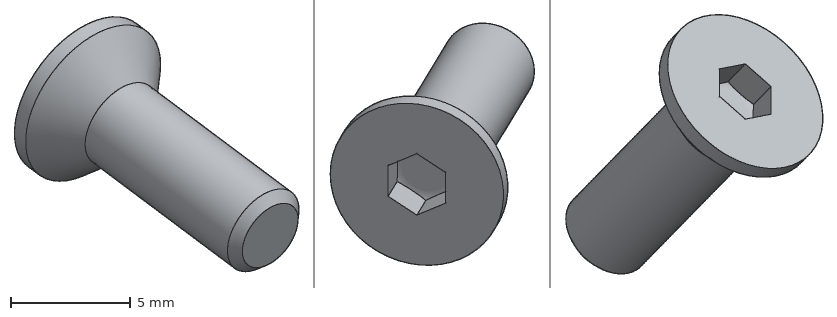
import cadquery as cq
import math

length = 12
head_diameter = 7.54
shank_diameter = 4.0
rim_thickness = 0.72
tip_chamfer = 0.45

socket_flats = 2.5
corner_depth = 1.44
floor_radius = 1.08
floor_fillet = 0.79

head_radius = head_diameter / 2
shank_radius = shank_diameter / 2
cone_end = rim_thickness + head_radius - shank_radius


def screw_body():
    return (
        cq.Workplane("XY")
        .moveTo(0, 0)
        .lineTo(0, head_radius)
        .lineTo(rim_thickness, head_radius)
        .lineTo(cone_end, shank_radius)
        .lineTo(length - tip_chamfer, shank_radius)
        .lineTo(length, shank_radius - tip_chamfer)
        .lineTo(length, 0)
        .close()
        .revolve(360, (0, 0, 0), (1, 0, 0))
    )


def drive_socket():
    """Hexagon with corners on the Z axis; its flat floor disc is rounded at the rim."""
    corner_radius = socket_flats / math.sqrt(3)
    arc_angle = math.asin((corner_radius - floor_radius) / floor_fillet)
    arc_center_x = corner_depth - floor_fillet * math.cos(arc_angle)
    floor_depth = arc_center_x + floor_fillet
    arc_middle = (
        arc_center_x + floor_fillet * math.cos(arc_angle / 2),
        floor_radius + floor_fillet * math.sin(arc_angle / 2),
    )

    prism = (
        cq.Workplane("YZ")
        .transformed(rotate=(0, 0, 90))
        .polygon(6, 2 * corner_radius)
        .extrude(floor_depth)
    )
    rounded_envelope = (
        cq.Workplane("XY")
        .moveTo(0, 0)
        .lineTo(0, corner_radius)
        .lineTo(corner_depth, corner_radius)
        .threePointArc(arc_middle, (floor_depth, floor_radius))
        .lineTo(floor_depth, 0)
        .close()
        .revolve(360, (0, 0, 0), (1, 0, 0))
    )
    return prism.intersect(rounded_envelope)


result = screw_body().cut(drive_socket())